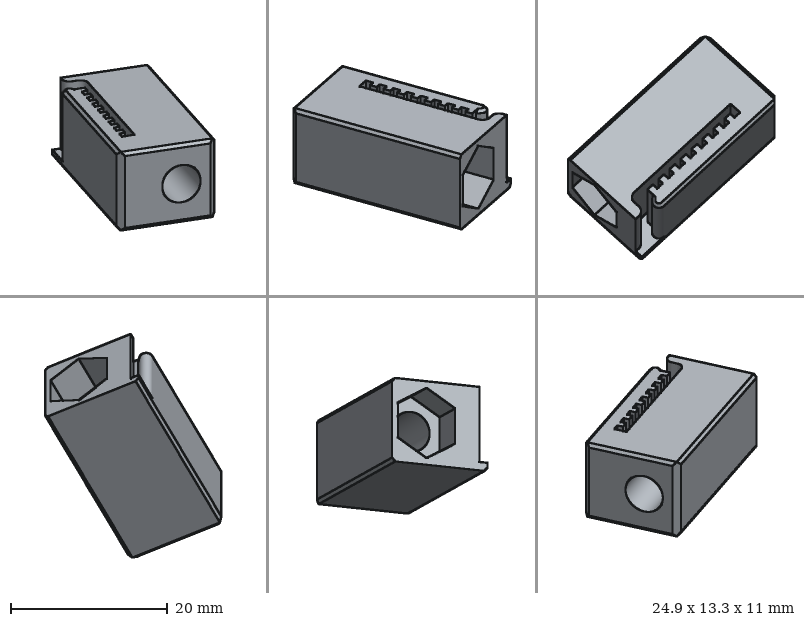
import cadquery as cq
import math

length = 24.9
width = 13.3
height = 11.0

bevel_side = 0.42
bevel_rise = 0.47
corner_cut = 2 * bevel_side

bore_diameter = 5.2
nut_across_flats = 8.0
nut_depth = 4.98
bore_y = 8.52

slot_floor = 1.12
slot_back_y = 3.9
entry_y = 1.12
entry_x = 1.57
entry_radius = 1.0

wall_x = 4.0
crest_y = 3.0
groove_y = 2.22
tooth_count = 8
toothed_length = 16.0
tooth_pitch = toothed_length / tooth_count
tooth_width = tooth_pitch / 2
slot_end_x = wall_x + toothed_length

nose_radius = 0.9
nose_slope = 38.0
nose_overlap = 1.0


def beveled_blank():
    """Intersect three profiles so that every bevel keeps its own two legs."""
    cross_section = (
        cq.Workplane("YZ")
        .moveTo(bevel_side, 0)
        .lineTo(width - bevel_side, 0)
        .lineTo(width, bevel_rise)
        .lineTo(width, height - bevel_rise)
        .lineTo(width - bevel_side, height)
        .lineTo(bevel_side, height)
        .lineTo(0, height - bevel_rise)
        .lineTo(0, bevel_rise)
        .close()
        .extrude(length)
    )
    side_profile = (
        cq.Workplane("XZ")
        .moveTo(0, 0)
        .lineTo(length - bevel_side, 0)
        .lineTo(length, bevel_rise)
        .lineTo(length, height - bevel_rise)
        .lineTo(length - bevel_side, height)
        .lineTo(0, height)
        .close()
        .extrude(-width)
    )
    plan = cq.Workplane("XY").box(length, width, height, centered=False)
    plan = plan.edges("|Z and >X").chamfer(corner_cut)
    return cross_section.intersect(side_profile).intersect(plan)


def belt_slot():
    """Slot with an S-shaped entry on its back side and square teeth on its front side."""
    arc_mid = entry_radius * math.sqrt(0.5)
    lower_center = (entry_x - entry_radius, entry_y + entry_radius)
    upper_center = (entry_x + entry_radius, slot_back_y - entry_radius)
    outline = (
        cq.Workplane("XY", origin=(0, 0, slot_floor))
        .moveTo(0, 0)
        .lineTo(0, entry_y)
        .lineTo(lower_center[0], entry_y)
        .threePointArc(
            (lower_center[0] + arc_mid, lower_center[1] - arc_mid),
            (entry_x, lower_center[1]),
        )
        .lineTo(entry_x, upper_center[1])
        .threePointArc(
            (upper_center[0] - arc_mid, upper_center[1] + arc_mid),
            (upper_center[0], slot_back_y),
        )
        .lineTo(slot_end_x, slot_back_y)
    )
    for index in reversed(range(tooth_count)):
        tooth_x = wall_x + index * tooth_pitch
        outline = (
            outline.lineTo(tooth_x + tooth_pitch, groove_y)
            .lineTo(tooth_x + tooth_width, groove_y)
            .lineTo(tooth_x + tooth_width, crest_y)
            .lineTo(tooth_x, crest_y)
        )
    return outline.lineTo(wall_x, 0).close().extrude(height - slot_floor)


def nose_profile(base_z):
    """Arc tangent to the front face, then a sloped flank tangent to the arc."""
    slope = math.radians(nose_slope)
    flank_start_x = wall_x - nose_radius * math.sin(slope)
    flank_start_y = nose_radius * (1 + math.cos(slope))
    flank_end_y = flank_start_y + (wall_x - flank_start_x) * math.tan(slope)
    return (
        cq.Workplane("XY", origin=(0, 0, base_z))
        .moveTo(wall_x + nose_overlap, 0)
        .lineTo(wall_x, 0)
        .threePointArc((wall_x - nose_radius, nose_radius), (flank_start_x, flank_start_y))
        .lineTo(wall_x, flank_end_y)
        .lineTo(wall_x + nose_overlap, flank_end_y)
        .close()
    )


def wall_nose():
    """Nose that reaches into the wall, with its top rim beveled by a tapered extrusion."""
    rim_z = height - bevel_rise
    bevel_angle = math.degrees(math.atan2(bevel_side, bevel_rise))
    shaft = nose_profile(slot_floor).extrude(rim_z - slot_floor)
    rim = nose_profile(rim_z).extrude(bevel_rise, taper=bevel_angle)
    return shaft.union(rim)


def bolt_cutter():
    """Bore along the whole length and nut pocket with corners pointing up and down."""
    bore_plane = cq.Workplane("YZ", origin=(0, bore_y, height / 2))
    bore = bore_plane.circle(bore_diameter / 2).extrude(length)
    across_corners = nut_across_flats / math.cos(math.pi / 6)
    pocket = (
        bore_plane.transformed(rotate=(0, 0, 90))
        .polygon(6, across_corners)
        .extrude(nut_depth)
    )
    return bore.union(pocket)


result = beveled_blank().cut(belt_slot()).union(wall_nose()).cut(bolt_cutter())